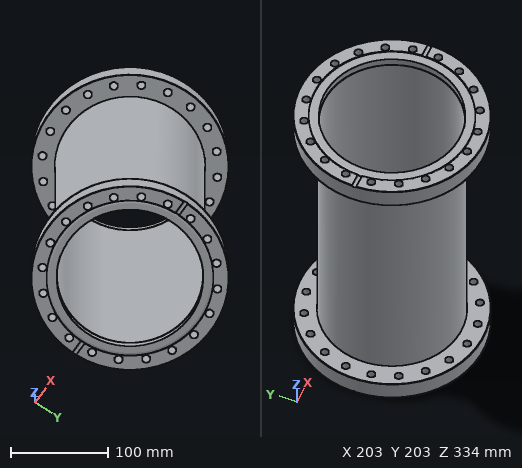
import cadquery as cq

length = 334.0
flange_diameter = 203.0
flange_thickness = 22.0
flange_bore = 150.5
rim_chamfer = 0.5

tube_outer = 154.0
tube_inner = 150.0
socket_diameter = 154.5
socket_shoulder = 9.7

recess_diameter = 171.5
recess_depth = 0.7
knife_diameter = 165.5
knife_groove_depth = 1.5

bolt_count = 20
bolt_circle = 181.0
bolt_hole = 8.5
leak_groove_width = 4.7
leak_groove_depth = 1.5


def flange_profile():
    """Half section of the lower flange, sealing face at Z = 0."""
    outer = flange_diameter / 2
    return (
        cq.Workplane("XZ")
        .moveTo(flange_bore / 2, recess_depth)
        .lineTo(knife_diameter / 2, recess_depth)
        .lineTo(recess_diameter / 2, knife_groove_depth)
        .lineTo(recess_diameter / 2, 0)
        .lineTo(outer - rim_chamfer, 0)
        .lineTo(outer, rim_chamfer)
        .lineTo(outer, flange_thickness - rim_chamfer)
        .lineTo(outer - rim_chamfer, flange_thickness)
        .lineTo(socket_diameter / 2, flange_thickness)
        .lineTo(socket_diameter / 2, socket_shoulder)
        .lineTo(flange_bore / 2, socket_shoulder)
        .close()
    )


def bolt_holes():
    """Cutters for the bolt circle, with the X axis midway between two holes."""
    half_pitch = 180 / bolt_count
    return (
        cq.Workplane("XY")
        .polarArray(bolt_circle / 2, half_pitch, 360, bolt_count)
        .circle(bolt_hole / 2)
        .extrude(flange_thickness)
    )


def leak_grooves():
    """Round-bottomed cutter along X, crossing the rim on both sides."""
    half_width = leak_groove_width / 2
    radius = (half_width**2 + leak_groove_depth**2) / (2 * leak_groove_depth)
    return (
        cq.Workplane("YZ")
        .center(0, leak_groove_depth - radius)
        .circle(radius)
        .extrude(flange_diameter / 2, both=True)
        .cut(cq.Workplane("XY").circle(recess_diameter / 2).extrude(length, both=True))
    )


def make_flange():
    """Lower flange with its sealing face down at Z = 0."""
    body = flange_profile().revolve(360, (0, 0, 0), (0, 1, 0))
    return body.cut(bolt_holes()).cut(leak_grooves())


def make_tube():
    """Plain tube between the two socket shoulders."""
    return (
        cq.Workplane("XY")
        .workplane(offset=socket_shoulder)
        .circle(tube_outer / 2)
        .circle(tube_inner / 2)
        .extrude(length - 2 * socket_shoulder)
    )


tube = make_tube()
flanges = []
for turn in (0, 180):
    flange = make_flange().rotate((0, 0, length / 2), (1, 0, length / 2), turn)
    flanges.append(flange.val())

result = cq.Compound.makeCompound([tube.val(), *flanges])